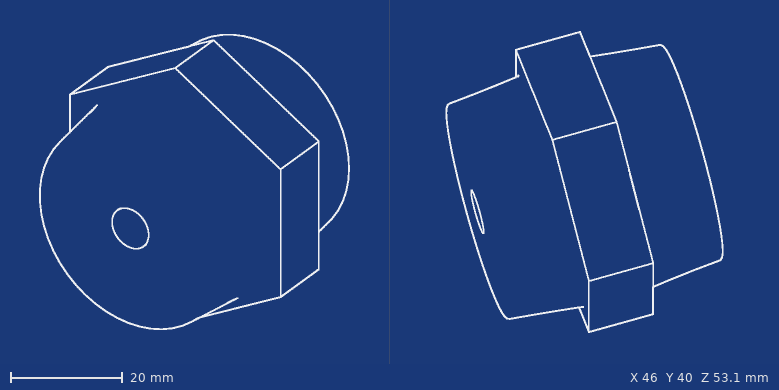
import cadquery as cq
import math

LENGTH = 40.0
COLLAR_WIDTH = 12.0
ACROSS_FLATS = 46.0
ACROSS_CORNERS = ACROSS_FLATS / math.cos(math.radians(30))

ROOT_RADIUS = 21.5
TIP_RADIUS = 20.0
EDGE_ROUND = 0.5

HOLE_DIAMETER = 8.0
HOLE_DEPTH = 12.0

HALF_LENGTH = LENGTH / 2
HALF_COLLAR = COLLAR_WIDTH / 2


def hex_collar():
    """Hexagonal prism with two flats facing +X and -X."""
    return (
        cq.Workplane("XZ")
        .transformed(rotate=(0, 0, 90))
        .polygon(6, ACROSS_CORNERS)
        .extrude(HALF_COLLAR, both=True)
    )


def tapered_core():
    """Round core running the full length, tapering from the collar to each end."""
    return (
        cq.Workplane("XY")
        .moveTo(0, -HALF_LENGTH)
        .lineTo(TIP_RADIUS, -HALF_LENGTH)
        .lineTo(ROOT_RADIUS, -HALF_COLLAR)
        .lineTo(ROOT_RADIUS, HALF_COLLAR)
        .lineTo(TIP_RADIUS, HALF_LENGTH)
        .lineTo(0, HALF_LENGTH)
        .close()
        .revolve(360, (0, 0, 0), (0, 1, 0))
    )


def axial_hole(side):
    """Cutter for the blind hole in the end on the given side (-1 or +1) of Y."""
    return (
        cq.Workplane("XZ", origin=(0, side * HALF_LENGTH, 0))
        .circle(HOLE_DIAMETER / 2)
        .extrude(side * HOLE_DEPTH)
    )


body = hex_collar().union(tapered_core())
body = body.edges("%CIRCLE").fillet(EDGE_ROUND)

for end_side in (-1, 1):
    body = body.cut(axial_hole(end_side))

result = body